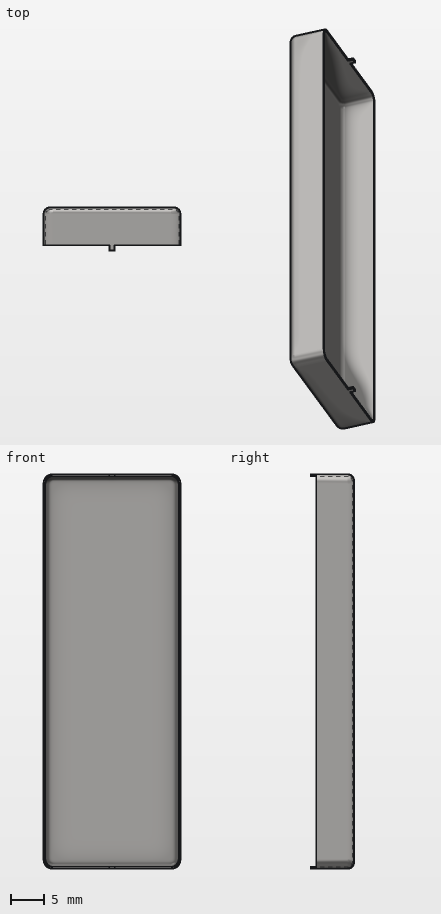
import cadquery as cq

width = 20.6
height = 59.3
depth = 5.7
wall = 0.3
back_thickness = 0.3

corner_radius = 1.4
back_edge_radius = 1.0
inner_corner_radius = corner_radius - wall
inner_edge_radius = back_edge_radius - back_thickness

tab_width = 0.8
tab_length = 0.8

back_y = (depth + tab_length) / 2
rim_y = back_y - depth
cavity_end_y = back_y - back_thickness


def rounded_block(size_x, size_z, front_y, rear_y, corner, rear_edge):
    """Block with rounded corners along Y and a rounded rear (+Y) edges."""
    block = cq.Workplane("XY").box(size_x, rear_y - front_y, size_z)
    block = block.edges("|Y").fillet(corner)
    block = block.faces(">Y").edges().fillet(rear_edge)
    return block.translate((0, (front_y + rear_y) / 2, 0))


def tab(side):
    """Tab continuing a short wall beyond the rim; side is +1 (top) or -1 (bottom)."""
    root_y = rim_y + wall
    tip_y = rim_y - tab_length
    center_z = side * (height - wall) / 2
    block = cq.Workplane("XY").box(tab_width, root_y - tip_y, wall)
    return block.translate((0, (root_y + tip_y) / 2, center_z))


shell = rounded_block(width, height, rim_y, back_y, corner_radius, back_edge_radius)
cavity = rounded_block(
    width - 2 * wall,
    height - 2 * wall,
    rim_y,
    cavity_end_y,
    inner_corner_radius,
    inner_edge_radius,
)

result = shell.cut(cavity)
for side in (1, -1):
    result = result.union(tab(side))